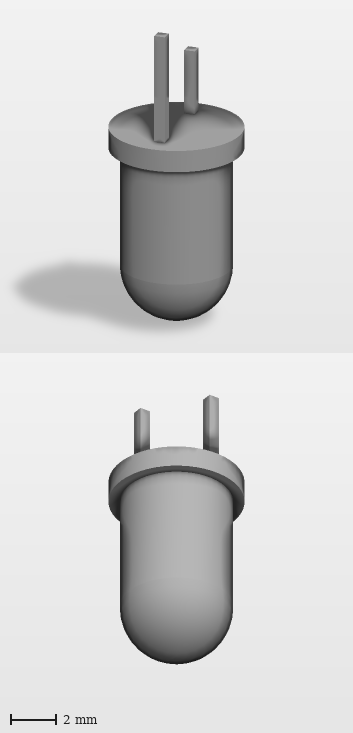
import cadquery as cq

lens_diameter = 5.0
lens_radius = lens_diameter / 2
barrel_height = 5.5
flange_diameter = 6.0
flange_height = 1.0

lead_width = 0.5
lead_offset = 1.85
long_lead_length = 5.0
short_lead_length = 3.0

flange_bottom = barrel_height
flange_top = flange_bottom + flange_height


def make_housing():
    """Revolve the half outline of dome, barrel and flange about Z."""
    flange_radius = flange_diameter / 2
    dome_middle = lens_radius * 0.5 ** 0.5
    return (
        cq.Workplane("XZ")
        .moveTo(0, -lens_radius)
        .threePointArc((dome_middle, -dome_middle), (lens_radius, 0))
        .lineTo(lens_radius, flange_bottom)
        .lineTo(flange_radius, flange_bottom)
        .lineTo(flange_radius, flange_top)
        .lineTo(0, flange_top)
        .close()
        .revolve(360, (0, 0, 0), (0, 1, 0))
    )


def make_lead(y_position, length):
    """Square lead standing on the flange's top face."""
    return (
        cq.Workplane("XY", origin=(0, y_position, flange_top))
        .rect(lead_width, lead_width)
        .extrude(length)
    )


housing = make_housing()

lead_layout = [
    (-lead_offset, long_lead_length),
    (lead_offset, short_lead_length),
]
leads = [make_lead(y_position, length) for y_position, length in lead_layout]

result = cq.Compound.makeCompound([housing.val(), *[lead.val() for lead in leads]])